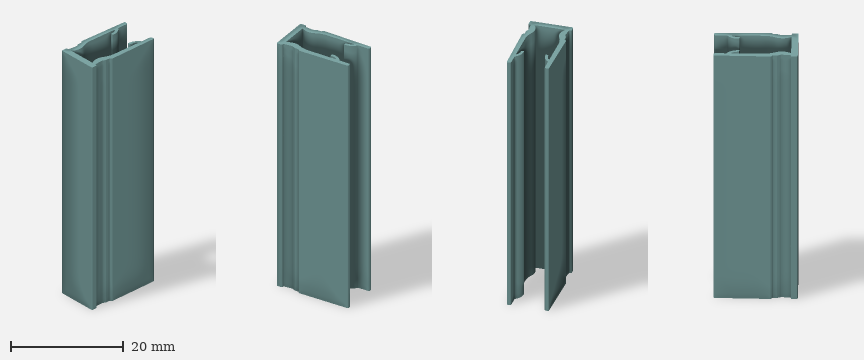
import cadquery as cq

length = 50.0
height = 14.95
overall_width = 8.15
lip_half_width = overall_width / 2

base_half_width = 4.0
base_thickness = 1.2
base_corner_radius = 0.2

rim_half_width = 3.9
rim_outer_radius = 0.2
rim_inner_chamfer = 0.2
inner_half_width = 3.1
wall_bottom_y = 6.35
lip_y = 4.8
lip_underside = (3.9, 4.6)

neck_half_width = 3.7
neck_top_y = 4.5
neck_bottom_y = 3.65
waist_half_width = 3.4
waist_top_y = 3.0
waist_bottom_y = 2.7
foot_half_width = 3.55
foot_fillet_radius = 0.15

bulge_foot_x = 2.85
bulge_crest = (2.3, 2.5)
bulge_top = (2.5, 3.85)
wall_blend_middle = (2.95, 4.95)

hook_top_y = 12.65
hook_bottom_y = 10.4
hook_underside_y = 11.8
hook_outer_middle = (2.35, 11.9)
hook_inner_middle = (2.65, 11.25)
hook_root_x = 2.9
hook_tip_x = 2.0
hook_tip_width = 0.5


def base_plate():
    plate = cq.Workplane("XY").box(
        2 * base_half_width, base_thickness, length, centered=(True, False, False)
    )
    return plate.edges("|Z").fillet(base_corner_radius)


def side_wall():
    """The wall on the +X side, from the base plate up to the rim."""
    outline = (
        cq.Workplane("XY")
        .moveTo(foot_half_width, base_thickness)
        .lineTo(waist_half_width, waist_bottom_y)
        .lineTo(waist_half_width, waist_top_y)
        .lineTo(neck_half_width, neck_bottom_y)
        .lineTo(neck_half_width, neck_top_y)
        .lineTo(*lip_underside)
        .lineTo(lip_half_width, lip_y)
        .lineTo(rim_half_width, height)
        .lineTo(inner_half_width + rim_inner_chamfer, height)
        .lineTo(inner_half_width, height - rim_inner_chamfer)
        .lineTo(inner_half_width, hook_top_y)
        .threePointArc(hook_outer_middle, (hook_tip_x, hook_bottom_y))
        .lineTo(hook_tip_x + hook_tip_width, hook_bottom_y)
        .threePointArc(hook_inner_middle, (hook_root_x, hook_underside_y))
        .lineTo(inner_half_width, hook_underside_y)
        .lineTo(inner_half_width, wall_bottom_y)
        .threePointArc(wall_blend_middle, bulge_top)
        .threePointArc(bulge_crest, (bulge_foot_x, base_thickness))
        .close()
    )
    wall = outline.extrude(length)
    rim_edge = cq.selectors.NearestToPointSelector((rim_half_width, height, length / 2))
    return wall.edges(rim_edge).fillet(rim_outer_radius)


right_wall = side_wall()
left_wall = right_wall.mirror("YZ")
profile = base_plate().union(right_wall).union(left_wall)

for side in (-1, 1):
    foot_edge = cq.selectors.NearestToPointSelector((side * foot_half_width, base_thickness, length / 2))
    profile = profile.edges(foot_edge).fillet(foot_fillet_radius)

result = profile